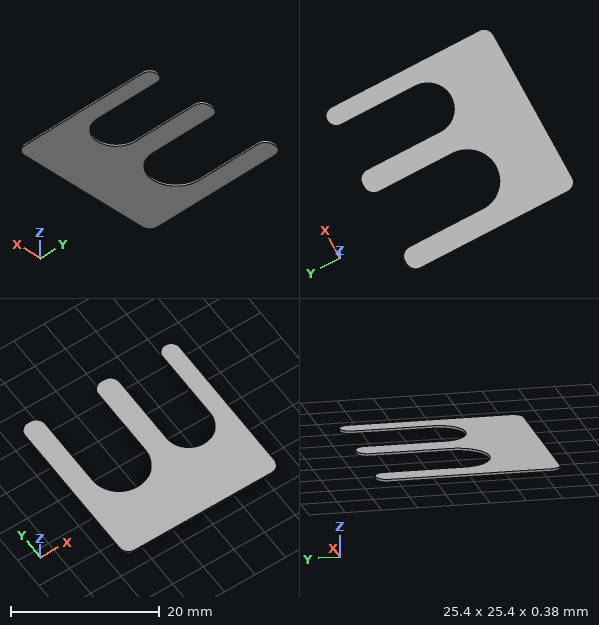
import cadquery as cq

side = 25.4
thickness = 0.38
corner_radius = 1.5
narrow_tip_radius = 1.37

slot_center_y = 0.0
wide_slot_x = -5.03
wide_slot_width = 8.64
narrow_slot_x = 6.35
narrow_slot_width = 7.1

half_side = side / 2


def open_slot(center_x, width):
    """Cutter with a round inner end that runs out through the +Y edge."""
    radius = width / 2
    return (
        cq.Workplane("XY")
        .moveTo(center_x - radius, half_side)
        .lineTo(center_x - radius, slot_center_y)
        .threePointArc((center_x, slot_center_y - radius), (center_x + radius, slot_center_y))
        .lineTo(center_x + radius, half_side)
        .close()
        .extrude(thickness)
    )


plate = cq.Workplane("XY").box(side, side, thickness, centered=(True, True, False))
plate = plate.cut(open_slot(wide_slot_x, wide_slot_width))
plate = plate.cut(open_slot(narrow_slot_x, narrow_slot_width))

narrow_tip = cq.selectors.BoxSelector(
    (narrow_slot_x, half_side - corner_radius, 0),
    (side, side, thickness),
)
base_corners = plate.edges("|Z").edges("<Y")
plate_tips = plate.edges("|Z").edges(">Y")
wide_tips = plate_tips.edges(cq.selectors.BoxSelector(
    (-side, half_side - corner_radius, 0),
    (narrow_slot_x, side, thickness),
))

result = (
    plate.newObject(base_corners.vals() + wide_tips.vals())
    .fillet(corner_radius)
    .edges("|Z")
    .edges(narrow_tip)
    .edges(">Y")
    .fillet(narrow_tip_radius)
)